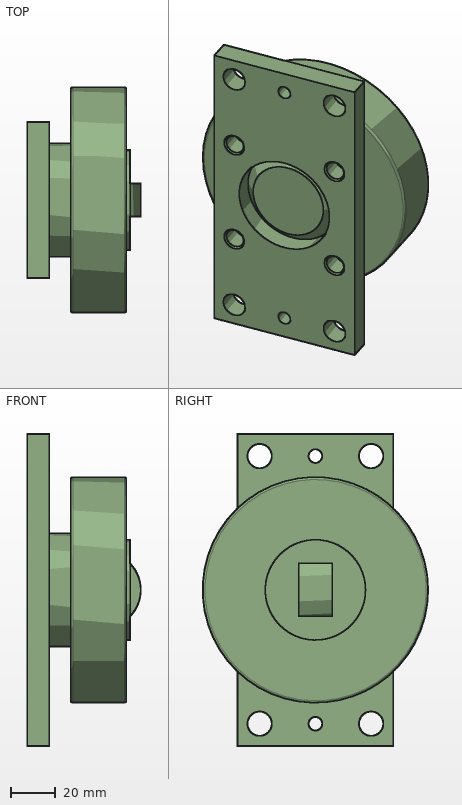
import cadquery as cq

plate_thickness = 10.0
wheel_start = 19.5
wheel_end = 44.5
boss_end = 46.2
overall_length = 51.0

bevel_angle = 45.0

plate_width = 70.0
plate_height = 140.0
corner_hole_dia = 10.8
corner_hole_y = 25.0
end_hole_z = 60.0
dowel_hole_dia = 6.0
tapped_hole_dia = 8.5
tapped_mouth_dia = 10.0
tapped_hole_offset = 25.0

bore_dia = 45.0
bore_depth = 9.0
pin_chamfer = 5.0

hub_dia = 51.0
wheel_dia = 101.2
wheel_edge = 1.0
boss_dia = 45.0
stop_width = 15.0
stop_radius = 17.0


def disc(diameter, start, end):
    """Cylinder about the X axis between two stations."""
    return cq.Workplane("YZ", origin=(start, 0, 0)).circle(diameter / 2).extrude(end - start)


def drill(diameter, points):
    """Cutters that pass through the plate at the given (Y, Z) points."""
    return cq.Workplane("YZ").pushPoints(points).circle(diameter / 2).extrude(plate_thickness)


def mirrored_points(y, z):
    """Four points placed symmetrically about the plate centre."""
    return [(side * y, end * z) for side in (-1, 1) for end in (-1, 1)]


def make_plate():
    plate = cq.Workplane("YZ").rect(plate_width, plate_height).extrude(plate_thickness)
    plate = plate.cut(drill(corner_hole_dia, mirrored_points(corner_hole_y, end_hole_z)))
    plate = plate.cut(drill(dowel_hole_dia, [(0, -end_hole_z), (0, end_hole_z)]))
    return plate.cut(make_tapped_hole_cutters())


def make_tapped_hole_cutters():
    """Tapping holes with a countersink at the outer plate face."""
    points = mirrored_points(tapped_hole_offset, tapped_hole_offset)
    countersink_depth = (tapped_mouth_dia - tapped_hole_dia) / 2
    countersinks = (
        cq.Workplane("YZ").pushPoints(points).circle(tapped_mouth_dia / 2)
        .extrude(countersink_depth, taper=bevel_angle)
    )
    return drill(tapped_hole_dia, points).union(countersinks)


def make_pin_recess():
    """Bore around the conical end of the pin, which stops short of the plate face."""
    pin_end = (
        cq.Workplane("YZ", origin=(bore_depth, 0, 0)).circle(bore_dia / 2)
        .extrude(-pin_chamfer, taper=bevel_angle)
    )
    return disc(bore_dia, 0, bore_depth).cut(pin_end)


def make_roller():
    wheel = disc(wheel_dia, wheel_start, wheel_end).edges("%CIRCLE").fillet(wheel_edge)
    hub = disc(hub_dia, plate_thickness, wheel_start)
    boss = disc(boss_dia, wheel_end, boss_end)
    return hub.union(wheel).union(boss)


def make_stop():
    """Round-nosed axial stop, the part of a cylinder along Y beyond the boss."""
    nose = (
        cq.Workplane("XZ", origin=(overall_length - stop_radius, 0, 0))
        .circle(stop_radius).extrude(stop_width / 2, both=True)
    )
    return nose.intersect(disc(wheel_dia, wheel_end, overall_length))


result = make_plate().union(make_roller()).union(make_stop()).cut(make_pin_recess())